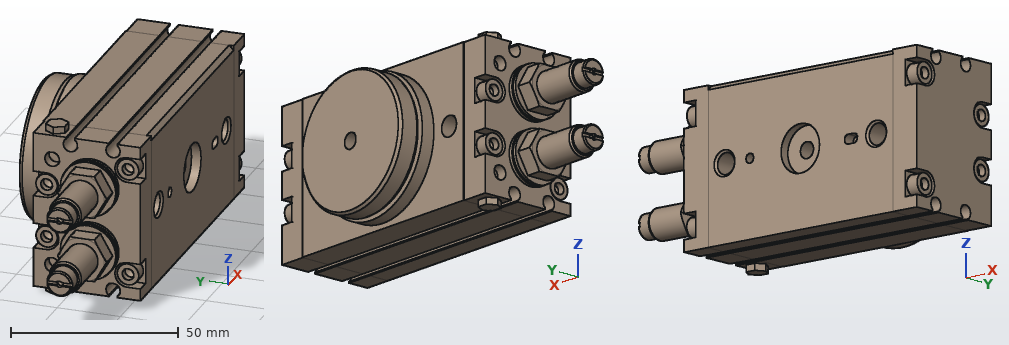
import cadquery as cq
import math


housing_half_length = 36.5
housing_back = 34.1
housing_height = 49.6
edge_chamfer = 1.5
collar_diameter = 46.3
collar_back = 38.7
bore_diameter = 15.2
bore_depth = 3.0
center_hole_diameter = 5.2
mount_hole_x = 30.0
mount_hole_diameter = 6.7
mount_hole_chamfer = 0.7
locating_x = 20.0
locating_hole_diameter = 3.0
locating_slot_length = 5.1
locating_depth = 4.0
drill_point_angle = 118

end_outer_x = 46.0
end_back = 33.9

groove_ys = [8.7, 22.2]
groove_diameter = 4.5
groove_mouth = 2.7
groove_depth = 4.5

front_screw_y = 4.1
front_screw_z = 17.0
back_screw_y = 29.9
back_screw_z = 8.4
screw_pocket_width = 8.0
screw_pocket_depth = 4.6
screw_head_diameter = 6.7
screw_head_recess = 0.5
screw_socket_diameter = 3.6
screw_socket_depth = 2.4

port_y = 28.0
port_z = 17.1
port_diameter = 4.6
port_depth = 3.6
plug_x = -41.5
plug_across_flats = 6.0
plug_height = 2.2

table_diameter = 45.0
table_front = 39.2
table_back = 47.0
table_neck_diameter = 41.0
table_rim_axial = 1.1
table_rim_radial = 0.7

absorber_y = 15.5
absorber_z = 10.2
barrel_diameter = 10.1
barrel_length = 15.3
barrel_chamfer_axial = 0.7
barrel_chamfer_radial = 0.5
tip_diameter = 8.1
tip_length = 4.8
tip_chamfer = 0.5
tip_slot_width = 1.2
tip_slot_depth = 0.8
tip_hole_diameter = 1.9
tip_hole_depth = 1.5

nut_across_flats = 13.5
nut_length = 5.4
nut_face_diameter = 14.0
nut_chamfer_axial = 0.2
flange_diameter = 17.5
flange_thickness = 2.9
flange_groove_width = 0.5
flange_groove_depth = 0.4

half_height = housing_height / 2
flange_front_x = -end_outer_x - flange_thickness
nut_front_x = flange_front_x - nut_length
barrel_front_x = nut_front_x - barrel_length
tip_front_x = barrel_front_x - tip_length


def rod_x(x, y, z, diameter, length):
    """Cylinder that starts at (x, y, z) and runs toward +X."""
    return cq.Workplane("YZ", origin=(x, y, z)).circle(diameter / 2).extrude(length)


def rod_y(x, y, z, diameter, length):
    """Cylinder that starts at (x, y, z) and runs toward +Y."""
    return cq.Workplane("XZ", origin=(x, y, z)).circle(diameter / 2).extrude(-length)


def drilled_hole_x(x, y, z, diameter, depth):
    """Cutter for a hole with a drill point, going from (x, y, z) toward +X."""
    radius = diameter / 2
    point_length = radius / math.tan(math.radians(drill_point_angle / 2))
    return (
        cq.Workplane("XY", origin=(x, y, z))
        .lineTo(0, radius)
        .lineTo(depth, radius)
        .lineTo(depth + point_length, 0)
        .close()
        .revolve(360, (0, 0, 0), (1, 0, 0))
    )


def block(x_min, x_max, y_min, y_max, z_min, z_max):
    size = (x_max - x_min, y_max - y_min, z_max - z_min)
    return cq.Workplane("XY").box(*size, centered=False).translate((x_min, y_min, z_min))


def hexagon_diameter(across_flats):
    """Circumscribed diameter of a hexagon."""
    return across_flats / math.cos(math.pi / 6)


def sensor_grooves():
    """Four undercut grooves, two along the top and two along the bottom."""
    grooves = cq.Workplane("XY")
    center_z = half_height - groove_depth + groove_diameter / 2
    for y in groove_ys:
        for side in (1, -1):
            tube = rod_x(-end_outer_x, y, side * center_z, groove_diameter, 2 * end_outer_x)
            z_low, z_high = sorted((side * center_z, side * half_height))
            mouth = block(
                -end_outer_x, end_outer_x, y - groove_mouth / 2, y + groove_mouth / 2, z_low, z_high
            )
            grooves = grooves.add(tube).add(mouth)
    return grooves.combine()


def locating_hole():
    """Blind hole with a drill point, going from the front face toward +Y."""
    hole = drilled_hole_x(0, 0, 0, locating_hole_diameter, locating_depth)
    return hole.rotate((0, 0, 0), (0, 0, 1), 90).translate((-locating_x, 0, 0))


def locating_slot():
    return (
        cq.Workplane("XZ", origin=(locating_x, 0, 0))
        .slot2D(locating_slot_length, locating_hole_diameter)
        .extrude(-locating_depth)
    )


def mount_hole(x):
    """Through hole with a countersunk front mouth."""
    radius = mount_hole_diameter / 2
    mouth = cq.Solid.makeCone(
        radius + mount_hole_chamfer, radius, mount_hole_chamfer, cq.Vector(x, 0, 0), cq.Vector(0, 1, 0)
    )
    return rod_y(x, 0, 0, mount_hole_diameter, housing_back).union(mouth)


def center_section():
    """Middle of the housing with its collar, bores and front holes."""
    body = block(
        -housing_half_length, housing_half_length, 0, housing_back, -half_height, half_height
    )
    body = body.faces("<Y").edges(">Z").chamfer(edge_chamfer)
    body = body.union(rod_y(0, 0, 0, collar_diameter, collar_back))
    body = body.cut(rod_y(0, 0, 0, bore_diameter, bore_depth))
    body = body.cut(rod_y(0, 0, 0, center_hole_diameter, collar_back))
    for x in (-mount_hole_x, mount_hole_x):
        body = body.cut(mount_hole(x))
    return body.cut(locating_hole()).cut(locating_slot())


def screw_pocket(y, z, open_y):
    """Round-ended pocket in the left end face, open at the face Y = open_y."""
    pocket = rod_x(-end_outer_x, y, z, screw_pocket_width, screw_pocket_depth)
    y_low, y_high = sorted((y, open_y))
    half_width = screw_pocket_width / 2
    floor_x = -end_outer_x + screw_pocket_depth
    channel = block(-end_outer_x, floor_x, y_low, y_high, z - half_width, z + half_width)
    return pocket.union(channel)


def screw_head(y, z):
    """Head with a drilled socket, standing on the pocket floor."""
    face_x = -end_outer_x + screw_head_recess
    head = rod_x(face_x, y, z, screw_head_diameter, screw_pocket_depth - screw_head_recess)
    return head.cut(drilled_hole_x(face_x, y, z, screw_socket_diameter, screw_socket_depth))


def end_block():
    """Left end block with its four screw heads."""
    end = block(-end_outer_x, -housing_half_length, 0, end_back, -half_height, half_height)
    for side in (1, -1):
        for y, z, open_y in ((front_screw_y, front_screw_z, 0), (back_screw_y, back_screw_z, end_back)):
            end = end.cut(screw_pocket(y, side * z, open_y))
            end = end.union(screw_head(y, side * z))
    return end


def make_housing():
    """Center section and end blocks in one piece; clean=False keeps their faces apart at the joints."""
    left_end = end_block()
    housing = center_section().union(left_end, clean=False)
    housing = housing.union(left_end.mirror("YZ"), clean=False)
    housing = housing.cut(sensor_grooves(), clean=False)
    for side in (1, -1):
        port = rod_x(-end_outer_x, port_y, side * port_z, port_diameter, port_depth)
        housing = housing.cut(port, clean=False)
    return housing.solids()


def make_table():
    """Rotary table with a narrower neck that rests on the housing collar."""
    radius = table_diameter / 2
    rim_radius = radius - table_rim_radial
    neck_radius = table_neck_diameter / 2
    bore_radius = center_hole_diameter / 2
    return (
        cq.Workplane("XY")
        .moveTo(bore_radius, collar_back)
        .lineTo(neck_radius, collar_back)
        .lineTo(neck_radius, table_front)
        .lineTo(rim_radius, table_front)
        .lineTo(radius, table_front + table_rim_axial)
        .lineTo(radius, table_back - table_rim_axial)
        .lineTo(rim_radius, table_back)
        .lineTo(bore_radius, table_back)
        .close()
        .revolve(360, (0, 0, 0), (0, 1, 0))
    )


def make_absorber(z):
    """Shock absorber: a barrel from the housing's end face outward, with a slotted tip."""
    barrel = rod_x(barrel_front_x, absorber_y, z, barrel_diameter, -end_outer_x - barrel_front_x)
    barrel = barrel.faces("<X").chamfer(barrel_chamfer_axial, barrel_chamfer_radial)
    tip = rod_x(tip_front_x, absorber_y, z, tip_diameter, tip_length)
    tip = tip.faces("<X").chamfer(tip_chamfer)
    slot = block(
        tip_front_x,
        tip_front_x + tip_slot_depth,
        absorber_y - tip_diameter / 2,
        absorber_y + tip_diameter / 2,
        z - tip_slot_width / 2,
        z + tip_slot_width / 2,
    )
    hole = drilled_hole_x(tip_front_x, absorber_y, z, tip_hole_diameter, tip_hole_depth)
    return barrel.union(tip.cut(slot).cut(hole))


def make_nut(z):
    """Hexagon nut with a V-grooved round flange against the housing, bored for the absorber."""
    corner_diameter = hexagon_diameter(nut_across_flats)
    hexagon = (
        cq.Workplane("YZ", origin=(nut_front_x, absorber_y, z))
        .polygon(6, corner_diameter)
        .extrude(nut_length)
    )
    corner_cutter = rod_x(nut_front_x, absorber_y, z, corner_diameter, nut_length)
    corner_cutter = corner_cutter.faces("<X").chamfer(
        nut_chamfer_axial, (corner_diameter - nut_face_diameter) / 2
    )
    flange_radius = flange_diameter / 2
    groove_middle = flange_thickness / 2
    flange = (
        cq.Workplane("XY", origin=(flange_front_x, absorber_y, z))
        .lineTo(0, flange_radius)
        .lineTo(groove_middle - flange_groove_width / 2, flange_radius)
        .lineTo(groove_middle, flange_radius - flange_groove_depth)
        .lineTo(groove_middle + flange_groove_width / 2, flange_radius)
        .lineTo(flange_thickness, flange_radius)
        .lineTo(flange_thickness, 0)
        .close()
        .revolve(360, (0, 0, 0), (1, 0, 0))
    )
    bore = rod_x(nut_front_x, absorber_y, z, barrel_diameter, nut_length + flange_thickness)
    return hexagon.intersect(corner_cutter).union(flange).cut(bore)


def make_plug(side):
    """Hexagon plug head on the top (side = 1) or bottom (side = -1) of the left end block."""
    return (
        cq.Workplane("XY", origin=(plug_x, port_y, side * half_height))
        .polygon(6, hexagon_diameter(plug_across_flats))
        .extrude(side * plug_height)
    )


housing = make_housing()
table = make_table()
absorbers = [make_absorber(side * absorber_z) for side in (1, -1)]
nuts = [make_nut(side * absorber_z) for side in (1, -1)]
plugs = [make_plug(side) for side in (1, -1)]

result = cq.Compound.makeCompound(
    [housing.val(), table.val()]
    + [absorber.val() for absorber in absorbers]
    + [nut.val() for nut in nuts]
    + [plug.val() for plug in plugs]
)